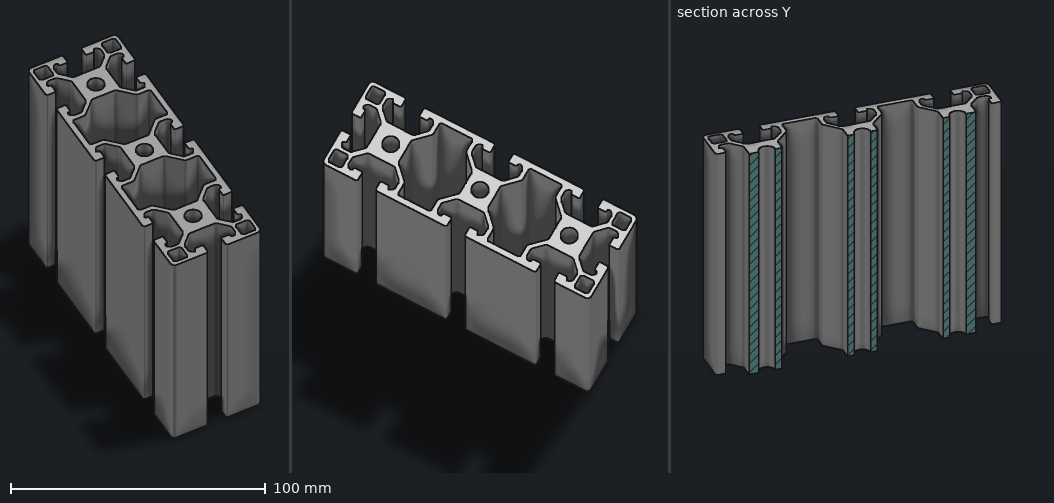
import cadquery as cq

CELL = 40.0
CELL_COUNT = 3
LENGTH = 100.0
CORNER_RADIUS = 2.0
BORE_DIAMETER = 6.8

SLOT_MOUTH_HALF = 4.0
SLOT_HALF = 10.5
SLOT_FLOOR_HALF = 6.0
SLOT_DEPTH = 12.4
LIP_THICKNESS = 4.4
LIP_HALF = 8.0
NOTCH_DEPTH = 3.0
LIP_EDGE_RADIUS = 1.0
LIP_INNER_RADIUS = 0.5
HOOK_RADIUS = 0.9
NOTCH_INNER_RADIUS = 0.4
NOTCH_OUTER_RADIUS = 2.0
SLOT_BEND_RADIUS = 2.0

HOLLOW_WALL = 1.7
HOLLOW_SIZE = 6.2
HOLLOW_RADIUS = 1.2

CHAMBER_HALF_HEIGHT = 17.4
CHAMBER_NECK_HALF = 7.4
CHAMBER_WAIST_HALF = 13.65
CHAMBER_WAIST_HEIGHT = 5.3
CHAMBER_BEND_RADIUS = 2.0
CHAMBER_CEILING_RADIUS = 1.0

HALF_CELL = CELL / 2
WIDTH = CELL * CELL_COUNT
CELL_CENTERS = [(i - (CELL_COUNT - 1) / 2) * CELL for i in range(CELL_COUNT)]
END_CENTER = CELL_CENTERS[-1]


def mirrored(half):
    """Close a half outline with its mirror image across the Y axis."""
    return half + [(-x, y) for x, y in reversed(half)]


def with_lower_half(upper):
    """Extend an upper outline with its mirror image across the X axis."""
    return upper + [(x, -y) for x, y in reversed(upper)]


def prism(points):
    """Extrude a closed outline over the full length."""
    return cq.Workplane("XY").polyline(points).close().extrude(LENGTH)


def round_edges(body, points, radius):
    """Fillet the lengthwise edges that pass through the given points."""
    first, *others = [cq.selectors.NearestToPointSelector((x, y, LENGTH / 2)) for x, y in points]
    selector = first
    for other in others:
        selector = selector + other
    return body.edges("|Z").edges(selector).fillet(radius)


def slot_cutter():
    """T-slot open towards +Y, in a cell centred on the origin."""
    slant_depth = SLOT_DEPTH - (SLOT_HALF - SLOT_FLOOR_HALF)
    mouth = (SLOT_MOUTH_HALF, HALF_CELL)
    lip_inner = (SLOT_MOUTH_HALF, HALF_CELL - LIP_THICKNESS)
    hook = (LIP_HALF, HALF_CELL - LIP_THICKNESS)
    notch_near = (LIP_HALF, HALF_CELL - NOTCH_DEPTH)
    notch_far = (SLOT_HALF, HALF_CELL - NOTCH_DEPTH)
    wall_end = (SLOT_HALF, HALF_CELL - slant_depth)
    floor_end = (SLOT_FLOOR_HALF, HALF_CELL - SLOT_DEPTH)
    cutter = prism(mirrored([mouth, lip_inner, hook, notch_near, notch_far, wall_end, floor_end]))
    cutter = round_edges(cutter, mirrored([lip_inner]), LIP_INNER_RADIUS)
    cutter = round_edges(cutter, mirrored([hook]), HOOK_RADIUS)
    cutter = round_edges(cutter, mirrored([notch_near]), NOTCH_INNER_RADIUS)
    cutter = round_edges(cutter, mirrored([notch_far]), NOTCH_OUTER_RADIUS)
    return round_edges(cutter, mirrored([wall_end, floor_end]), SLOT_BEND_RADIUS)


def chamber_cutter():
    """Large chamber, centred on the origin."""
    waist_to_neck = CHAMBER_WAIST_HALF - CHAMBER_NECK_HALF
    ceiling_end = (CHAMBER_NECK_HALF, CHAMBER_HALF_HEIGHT)
    neck = (CHAMBER_NECK_HALF, CHAMBER_WAIST_HEIGHT + waist_to_neck)
    waist = (CHAMBER_WAIST_HALF, CHAMBER_WAIST_HEIGHT)
    cutter = prism(mirrored(with_lower_half([ceiling_end, neck, waist])))
    cutter = round_edges(cutter, mirrored(with_lower_half([ceiling_end])), CHAMBER_CEILING_RADIUS)
    return round_edges(cutter, mirrored(with_lower_half([neck, waist])), CHAMBER_BEND_RADIUS)


def slot_placements():
    """Cell centre and turn about Z of every slot."""
    sides = [(x, turn) for x in CELL_CENTERS for turn in (0, 180)]
    ends = [(-END_CENTER, 90), (END_CENTER, -90)]
    return sides + ends


def cut_slots(body):
    cutter = slot_cutter()
    for x, turn in slot_placements():
        placed = cutter.rotate((0, 0, 0), (0, 0, 1), turn).translate((x, 0, 0))
        body = body.cut(placed)
    return body


def round_slot_mouths(body):
    sides = [(x + u, HALF_CELL) for x in CELL_CENTERS for u in (-SLOT_MOUTH_HALF, SLOT_MOUTH_HALF)]
    ends = [(WIDTH / 2, -SLOT_MOUTH_HALF), (WIDTH / 2, SLOT_MOUTH_HALF)]
    return round_edges(body, with_lower_half(sides) + mirrored(ends), LIP_EDGE_RADIUS)


def cut_corner_hollows(body):
    inset = HOLLOW_WALL + HOLLOW_SIZE / 2
    hollows = (
        cq.Workplane("XY")
        .rect(WIDTH - 2 * inset, CELL - 2 * inset, forConstruction=True)
        .vertices()
        .rect(HOLLOW_SIZE, HOLLOW_SIZE)
        .extrude(LENGTH)
        .edges("|Z")
        .fillet(HOLLOW_RADIUS)
    )
    return body.cut(hollows)


def cut_chambers(body):
    cutter = chamber_cutter()
    for x in CELL_CENTERS[:-1]:
        body = body.cut(cutter.translate((x + HALF_CELL, 0, 0)))
    return body


def cut_bores(body):
    centers = [(x, 0) for x in CELL_CENTERS]
    bores = cq.Workplane("XY").pushPoints(centers).circle(BORE_DIAMETER / 2).extrude(LENGTH)
    return body.cut(bores)


profile = cq.Workplane("XY").rect(WIDTH, CELL).extrude(LENGTH).edges("|Z").fillet(CORNER_RADIUS)
profile = cut_slots(profile)
profile = round_slot_mouths(profile)
profile = cut_corner_hollows(profile)
profile = cut_chambers(profile)
result = cut_bores(profile)